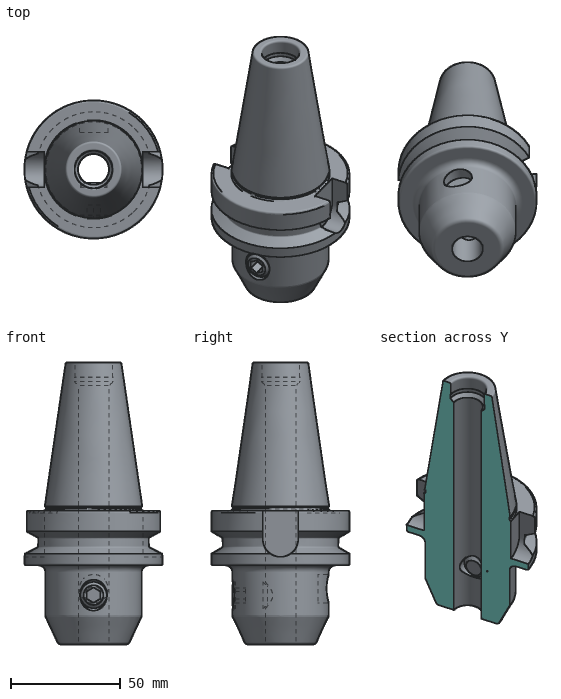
import cadquery as cq
import math


GAUGE_R = 44.45 / 2
TAPER_LENGTH = 65.4
TAPER_RATE = 7 / 24
TAPER_TOP_R = GAUGE_R - TAPER_LENGTH * TAPER_RATE / 2
TAPER_TOP_FILLET = 1.0

NECK_R = 21.8
NECK_SHOULDER = GAUGE_R - NECK_R
NECK_FILLET = 0.7

FLANGE_R = 31.5
FLANGE_TOP_Z = -2.0
FLANGE_BOTTOM_Z = -27.0
FLANGE_EDGE_FILLET = 1.0
GROOVE_Z = -16.6
GROOVE_ROOT_R = 26.4
GROOVE_MOUTH_HALF = 5.05
GROOVE_SLOPE = math.tan(math.radians(30))
GROOVE_ROOT_HALF = GROOVE_MOUTH_HALF - (FLANGE_R - GROOVE_ROOT_R) * GROOVE_SLOPE
GROOVE_ROOT_FILLET = 0.5

SLOT_WIDTH = 16.1
SLOT_FLOOR_X = 22.5
SLOT_BOTTOM_Z = -23.1

BODY_R = 22.0
BODY_ROOT_FILLET = 3.0
NOSE_Z = -63.0
CONE_START_Z = -50.0
CONE_ANGLE = 25.0
NOSE_R = BODY_R - (CONE_START_Z - NOSE_Z) * math.tan(math.radians(CONE_ANGLE))
NOSE_FILLET = 2.0

BORE_R = 7.0
PILOT_R = 8.5
PILOT_DEPTH = 9.0
PILOT_MOUTH_FILLET = 1.0
RELIEF_WIDTH = 2.5
RELIEF_DEPTH = 0.3

SCREW_Z = -40.5
SCREW_R = 6.0
SCREW_LENGTH = 16.0
SCREW_HEAD_Y = -22.0
SCREW_CHAMFER = 1.5
SCREW_TIP_CHAMFER = 2.0
HEX_ACROSS_FLATS = 6.0
HEX_DEPTH = 6.0
COUNTERSINK_R = 7.05

BALANCE_R = 6.5
BALANCE_Z = -37.5
BALANCE_DEPTH = 5.0


def round_edges(body, radius, height, fillet):
    """Fillet the circular edge of the given radius at the given height."""
    tolerance = 0.01
    box = cq.selectors.BoxSelector(
        (-radius - tolerance, -radius - tolerance, height - tolerance),
        (radius + tolerance, radius + tolerance, height + tolerance),
        boundingbox=True,
    )
    return body.edges(box).edges(cq.selectors.RadiusNthSelector(-1)).fillet(fillet)


def turned_body():
    profile = [
        (0, NOSE_Z),
        (NOSE_R, NOSE_Z),
        (BODY_R, CONE_START_Z),
        (BODY_R, FLANGE_BOTTOM_Z),
        (FLANGE_R, FLANGE_BOTTOM_Z),
        (FLANGE_R, GROOVE_Z - GROOVE_MOUTH_HALF),
        (GROOVE_ROOT_R, GROOVE_Z - GROOVE_ROOT_HALF),
        (GROOVE_ROOT_R, GROOVE_Z + GROOVE_ROOT_HALF),
        (FLANGE_R, GROOVE_Z + GROOVE_MOUTH_HALF),
        (FLANGE_R, FLANGE_TOP_Z),
        (NECK_R, FLANGE_TOP_Z),
        (NECK_R, -NECK_SHOULDER),
        (GAUGE_R, 0),
        (TAPER_TOP_R, TAPER_LENGTH),
        (0, TAPER_LENGTH),
    ]
    body = cq.Workplane("XZ").polyline(profile).close().revolve(360, (0, 0), (0, 1))
    rounded_corners = [
        (NOSE_R, NOSE_Z, NOSE_FILLET),
        (BODY_R, CONE_START_Z, NOSE_FILLET),
        (BODY_R, FLANGE_BOTTOM_Z, BODY_ROOT_FILLET),
        (FLANGE_R, FLANGE_BOTTOM_Z, FLANGE_EDGE_FILLET),
        (GROOVE_ROOT_R, GROOVE_Z - GROOVE_ROOT_HALF, GROOVE_ROOT_FILLET),
        (GROOVE_ROOT_R, GROOVE_Z + GROOVE_ROOT_HALF, GROOVE_ROOT_FILLET),
        (FLANGE_R, FLANGE_TOP_Z, FLANGE_EDGE_FILLET),
        (NECK_R, FLANGE_TOP_Z, NECK_FILLET),
        (TAPER_TOP_R, TAPER_LENGTH, TAPER_TOP_FILLET),
    ]
    for radius, height, fillet in rounded_corners:
        body = round_edges(body, radius, height, fillet)
    return body


def bore():
    pilot_z = TAPER_LENGTH - PILOT_DEPTH
    relief_r = PILOT_R + RELIEF_DEPTH
    relief_top_z = pilot_z + RELIEF_WIDTH
    profile = (
        cq.Workplane("XZ")
        .moveTo(0, NOSE_Z)
        .lineTo(BORE_R, NOSE_Z)
        .lineTo(BORE_R, pilot_z - (PILOT_R - BORE_R))
        .lineTo(PILOT_R, pilot_z)
        .lineTo(relief_r, pilot_z + RELIEF_DEPTH)
        .lineTo(relief_r, relief_top_z - RELIEF_DEPTH)
        .lineTo(PILOT_R, relief_top_z)
        .lineTo(PILOT_R, TAPER_LENGTH - PILOT_MOUTH_FILLET)
        .radiusArc((PILOT_R + PILOT_MOUTH_FILLET, TAPER_LENGTH), PILOT_MOUTH_FILLET)
        .lineTo(0, TAPER_LENGTH)
        .close()
    )
    return profile.revolve(360, (0, 0), (0, 1))


def drive_slot(side):
    """Slot open at the flange top, with a half-round bottom; side is +1 or -1."""
    radius = SLOT_WIDTH / 2
    arc_z = SLOT_BOTTOM_Z + radius
    return (
        cq.Workplane("YZ", origin=(side * SLOT_FLOOR_X, 0, 0))
        .moveTo(-radius, FLANGE_TOP_Z)
        .lineTo(-radius, arc_z)
        .threePointArc((0, SLOT_BOTTOM_Z), (radius, arc_z))
        .lineTo(radius, FLANGE_TOP_Z)
        .close()
        .extrude(side * FLANGE_R)
    )


def turned_about_screw_axis(profile):
    """Revolve (radius, y) points about the Y-parallel axis of the screw."""
    return (
        cq.Workplane("XY", origin=(0, 0, SCREW_Z))
        .polyline(profile)
        .close()
        .revolve(360, (0, 0), (0, 1))
    )


def screw_hole():
    countersink_y = -BODY_R + COUNTERSINK_R - SCREW_R
    clearance = 1.0
    return turned_about_screw_axis([
        (0, 0),
        (SCREW_R, 0),
        (SCREW_R, countersink_y),
        (COUNTERSINK_R + clearance, -BODY_R - clearance),
        (0, -BODY_R - clearance),
    ])


def clamping_screw():
    tip_y = SCREW_HEAD_Y + SCREW_LENGTH
    screw = turned_about_screw_axis([
        (0, SCREW_HEAD_Y),
        (SCREW_R - SCREW_CHAMFER, SCREW_HEAD_Y),
        (SCREW_R, SCREW_HEAD_Y + SCREW_CHAMFER),
        (SCREW_R, tip_y - SCREW_TIP_CHAMFER),
        (SCREW_R - SCREW_TIP_CHAMFER, tip_y),
        (0, tip_y),
    ])
    across_corners = HEX_ACROSS_FLATS / math.cos(math.radians(30))
    socket = (
        cq.Workplane("XZ", origin=(0, SCREW_HEAD_Y, SCREW_Z))
        .transformed(rotate=(0, 0, 90))
        .polygon(6, across_corners)
        .extrude(-HEX_DEPTH)
    )
    return screw.cut(socket)


def balance_hole():
    return (
        cq.Workplane("XZ", origin=(0, BODY_R - BALANCE_DEPTH, BALANCE_Z))
        .circle(BALANCE_R)
        .extrude(-2 * BALANCE_DEPTH)
    )


result = turned_body().cut(bore())
for slot_side in (-1, 1):
    result = result.cut(drive_slot(slot_side))
result = result.cut(screw_hole()).cut(balance_hole())
result = result.union(clamping_screw())